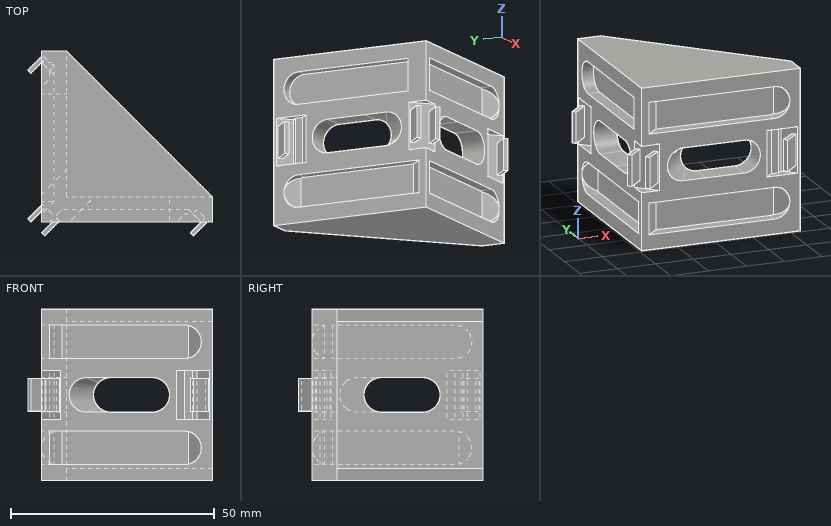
import cadquery as cq
import math

leg = 42.0
wall = 6.1
side_wall = 3.0
mid_height = leg / 2

pocket_start = 1.95
pocket_end = 39.17
pocket_height = 8.2
pocket_depth = 3.1
pocket_margin = 3.9

slot_radius = 4.2
slot_start = 12.8
slot_end = 31.38
slot_mouth_start = 6.8

notch_height = 11.95
corner_notch_leg = 4.65
end_notch_start = 33.1
end_notch_step_depth = 2.0
end_notch_step_end = 37.05
end_notch_end = 41.2
end_notch_depth = 3.1

tab_height = 8.1
tab_thickness = 1.1
tab_offset = 2.65
tab_reach = 3.35
tab_root = 0.15
tab_pitch = 36.45


def prism(points, bottom, height):
    """Vertical prism over an XY polygon."""
    return cq.Workplane("XY").workplane(offset=bottom).polyline(points).close().extrude(height)


def mirrored(solid):
    """The same feature on the other leg: reflection in the plane x = y."""
    half_turned = solid.mirror("YZ")
    return half_turned.rotate((0, 0, 0), (0, 0, 1), -90)


def slot_prism(start, end, radius, z_center, depth):
    """Round-ended slot cut from the y = 0 face along +Y."""
    return (
        cq.Workplane("XZ")
        .center((start + end) / 2, z_center)
        .slot2D(end - start, 2 * radius)
        .extrude(-depth)
    )


def bracket_body():
    outline = [(0, 0), (leg, 0), (leg, wall), (wall, leg), (0, leg)]
    cavity = [(wall, wall), (leg, wall), (leg, leg), (wall, leg)]
    return prism(outline, 0, leg).cut(prism(cavity, side_wall, leg - 2 * side_wall))


def pocket_outline(start, depth, z_center):
    """Pocket square at the corner end and round at the far end."""
    radius = pocket_height / 2
    box = (
        cq.Workplane("XY")
        .box(pocket_end - radius - start, depth, pocket_height, centered=False)
        .translate((start, 0, z_center - radius))
    )
    cap = (
        cq.Workplane("XZ")
        .center(pocket_end - radius, z_center)
        .circle(radius)
        .extrude(-depth)
    )
    return box.union(cap)


def sloped_pocket(z_center):
    """Pocket in the y = 0 face whose two ends slope inward at 45 degrees."""
    trapezoid = [
        (pocket_start, 0),
        (pocket_end, 0),
        (pocket_end - pocket_depth, pocket_depth),
        (pocket_start + pocket_depth, pocket_depth),
    ]
    return pocket_outline(pocket_start, pocket_depth, z_center).intersect(prism(trapezoid, 0, leg))


def straight_pocket(z_center):
    """Shorter pocket with walls square to the face."""
    return pocket_outline(pocket_start + pocket_depth, pocket_depth, z_center)


def bolt_slot():
    """Through slot whose corner end widens toward the outer face."""
    inner_center = slot_start + slot_radius
    mouth_center = slot_mouth_start + slot_radius
    diagonal = slot_radius * math.sqrt(0.5)
    eighth = slot_radius * math.sin(math.pi / 8)
    eighth_far = slot_radius * math.cos(math.pi / 8)
    flare = (
        cq.Workplane("XZ")
        .moveTo(inner_center, mid_height - slot_radius)
        .lineTo(inner_center, mid_height + slot_radius)
        .lineTo(mouth_center, mid_height + slot_radius)
        .threePointArc((slot_mouth_start, mid_height), (mouth_center, mid_height - slot_radius))
        .close()
        .workplane(offset=-wall)
        .moveTo(inner_center, mid_height - slot_radius)
        .lineTo(inner_center, mid_height + slot_radius)
        .threePointArc(
            (inner_center - eighth, mid_height + eighth_far),
            (inner_center - diagonal, mid_height + diagonal),
        )
        .threePointArc((slot_start, mid_height), (inner_center - diagonal, mid_height - diagonal))
        .threePointArc(
            (inner_center - eighth, mid_height - eighth_far),
            (inner_center, mid_height - slot_radius),
        )
        .close()
        .loft(ruled=True)
    )
    return slot_prism(slot_start, slot_end, slot_radius, mid_height, wall).union(flare)


def corner_notch():
    points = [(0, 0), (corner_notch_leg, 0), (0, corner_notch_leg)]
    return prism(points, mid_height - notch_height / 2, notch_height)


def end_notch():
    """Stepped notch near the far end of the leg; all slopes are at 45 degrees."""
    points = [
        (end_notch_start, 0),
        (end_notch_start + end_notch_step_depth, end_notch_step_depth),
        (end_notch_step_end, end_notch_step_depth),
        (end_notch_end - end_notch_depth, end_notch_depth),
        (end_notch_end, 0),
    ]
    return prism(points, mid_height - notch_height / 2, notch_height)


def tab(shift):
    """Tab from the 45 degree notch wall out through the y = 0 face."""
    offset_step = tab_thickness * math.sqrt(2)
    inner = tab_offset
    outer = tab_offset + offset_step
    wall_sum = corner_notch_leg + 2 * tab_root
    tip_sum = outer - 2 * tab_reach
    corners = [(inner, wall_sum), (outer, wall_sum), (outer, tip_sum), (inner, tip_sum)]
    points = [((total + diff) / 2 + shift, (total - diff) / 2) for diff, total in corners]
    return prism(points, mid_height - tab_height / 2, tab_height)


low_pocket = pocket_margin + pocket_height / 2
high_pocket = leg - low_pocket

result = bracket_body()

result = result.cut(sloped_pocket(low_pocket)).cut(sloped_pocket(high_pocket))
result = result.cut(mirrored(sloped_pocket(low_pocket)))
result = result.cut(mirrored(straight_pocket(high_pocket)))

result = result.cut(corner_notch())
for cutter in (bolt_slot(), end_notch()):
    result = result.cut(cutter).cut(mirrored(cutter))

for shift in (0, tab_pitch):
    result = result.union(tab(shift)).union(mirrored(tab(shift)))